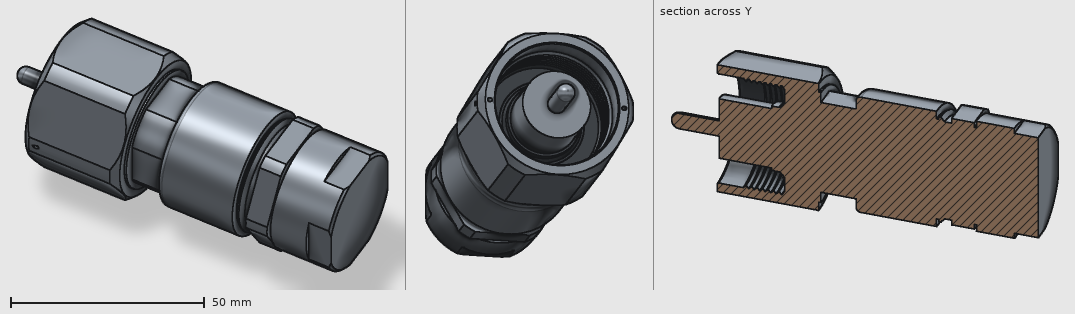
import cadquery as cq
import math


pin_dia = 4.7
pin_nose_radius = 2.2

nut_start = 12.6
nut_end = 40.5
nut_flats = 38.1
nut_corner_dia = 41.3
nut_face_dia = 37.9
nut_chamfer_length = 2.0

socket_dia = 32.6
socket_mouth_dia = 33.2
mouth_chamfer_length = 0.4
thread_start = 19.8
thread_minor_dia = 31.0
socket_floor_dia = 30.1
thread_pitch = 1.5
thread_turns = 7
thread_end = thread_start + thread_pitch * thread_turns
socket_floor = thread_end + thread_pitch / 2
nose_start = 13.1
nose_dia = 17.9
shoulder_dia = 19.5
shoulder_cone_dia = 21.1
shoulder_base_dia = 22.5
shoulder_length = 2.0
shoulder_cone_length = 1.0
shoulder_base_length = 0.5

wire_hole_dia = 1.0
wire_hole_face_offset = 17.7
wire_hole_side_station = 16.7

washer_end = 41.1
washer_dia = 33.1
neck_dia = 29.6
neck_flats = 27.0

sleeve_start = 50.7
sleeve_end = 72.9
sleeve_dia = 34.7
sleeve_round = 1.3

ridge_start = sleeve_end + 0.5
ridge_peak = sleeve_end + 1.1
ridge_end = 75.1
ridge_root_dia = 30.1
ridge_start_dia = 31.0
ridge_peak_dia = 31.7
rear_neck_dia = 29.2

rear_hex_start = 77.0
rear_hex_end = 83.3
rear_hex_flats = 32.0
rear_hex_corner_dia = 35.1

cap_start = 83.8
cap_end = 100.8
cap_dia = 33.1
cap_flats = 30.0
cap_flats_start = 94.3
cap_chamfer = 0.7


def cylinder(start, end, diameter):
    return cq.Workplane("YZ", origin=(start, 0, 0)).circle(diameter / 2).extrude(end - start)


def turned(profile):
    """Revolve (station, diameter) pairs about X, closing the profile on the axis."""
    points = [(profile[0][0], 0)]
    points += [(station, diameter / 2) for station, diameter in profile]
    points.append((profile[-1][0], 0))
    return cq.Workplane("XY").polyline(points).close().revolve(360, (0, 0, 0), (1, 0, 0))


def hexagon(start, end, flats):
    """Hexagonal bar with corners on Y and flats facing up and down."""
    across_corners = flats / math.cos(math.pi / 6)
    return cq.Workplane("YZ", origin=(start, 0, 0)).polygon(6, across_corners).extrude(end - start)


def square(start, end, flats):
    return cq.Workplane("YZ", origin=(start, 0, 0)).rect(flats, flats).extrude(end - start)


def wire_hole(side):
    """Slanted hole from the nut's front face out through the corner on the given Y side."""
    entry = cq.Vector(nut_start, side * wire_hole_face_offset, 0)
    outlet = cq.Vector(wire_hole_side_station, side * nut_corner_dia / 2, 0)
    span = outlet - entry
    drill = cq.Solid.makeCylinder(wire_hole_dia / 2, 3 * span.Length, entry - span, span)
    return cq.Workplane(obj=drill)


def nut_socket():
    profile = [
        (nut_start, socket_mouth_dia),
        (nut_start + mouth_chamfer_length, socket_dia),
        (thread_start, socket_dia),
    ]
    for turn in range(thread_turns):
        root = thread_start + turn * thread_pitch
        profile.append((root + thread_pitch / 2, thread_minor_dia))
        profile.append((root + thread_pitch, socket_dia))
    profile.append((socket_floor, socket_floor_dia))
    return turned(profile)


def coupling_nut():
    envelope = turned([
        (nut_start, nut_face_dia),
        (nut_start + nut_chamfer_length, nut_corner_dia),
        (nut_end - nut_chamfer_length, nut_corner_dia),
        (nut_end, nut_face_dia),
    ])
    nut = hexagon(nut_start, nut_end, nut_flats).intersect(envelope).cut(nut_socket())
    for side in (-1, 1):
        nut = nut.cut(wire_hole(side))
    return nut


def nose():
    base_start = socket_floor - shoulder_base_length
    cone_start = base_start - shoulder_cone_length
    shoulder_start = cone_start - shoulder_length
    return turned([
        (nose_start, nose_dia),
        (shoulder_start, nose_dia),
        (shoulder_start, shoulder_dia),
        (cone_start, shoulder_dia),
        (base_start, shoulder_cone_dia),
        (base_start, shoulder_base_dia),
        (nut_end, shoulder_base_dia),
    ])


def pin():
    return cylinder(0, nut_end, pin_dia).faces("<X").edges().fillet(pin_nose_radius)


def neck():
    washer = cylinder(nut_end, washer_end, washer_dia)
    round_bar = cylinder(washer_end, sleeve_start, neck_dia)
    return washer.union(round_bar.intersect(square(washer_end, sleeve_start, neck_flats)))


def sleeve():
    return cylinder(sleeve_start, sleeve_end, sleeve_dia).faces("<X").edges().fillet(sleeve_round)


def ridge_and_rear_neck():
    return turned([
        (sleeve_end, ridge_root_dia),
        (ridge_start, ridge_root_dia),
        (ridge_start, ridge_start_dia),
        (ridge_peak, ridge_peak_dia),
        (ridge_end, rear_neck_dia),
        (cap_start, rear_neck_dia),
    ])


def rear_hex():
    corner_limit = cylinder(rear_hex_start, rear_hex_end, rear_hex_corner_dia)
    return hexagon(rear_hex_start, rear_hex_end, rear_hex_flats).intersect(corner_limit)


def cap():
    body = turned([
        (cap_start, cap_dia),
        (cap_end - cap_chamfer, cap_dia),
        (cap_end, cap_dia - 2 * cap_chamfer),
    ])
    flat_limit = cylinder(cap_start, cap_flats_start, cap_dia)
    flat_limit = flat_limit.union(square(cap_flats_start, cap_end, cap_flats))
    return body.intersect(flat_limit)


result = coupling_nut()
for section in (nose(), pin(), neck(), sleeve(), ridge_and_rear_neck(), rear_hex(), cap()):
    result = result.union(section)